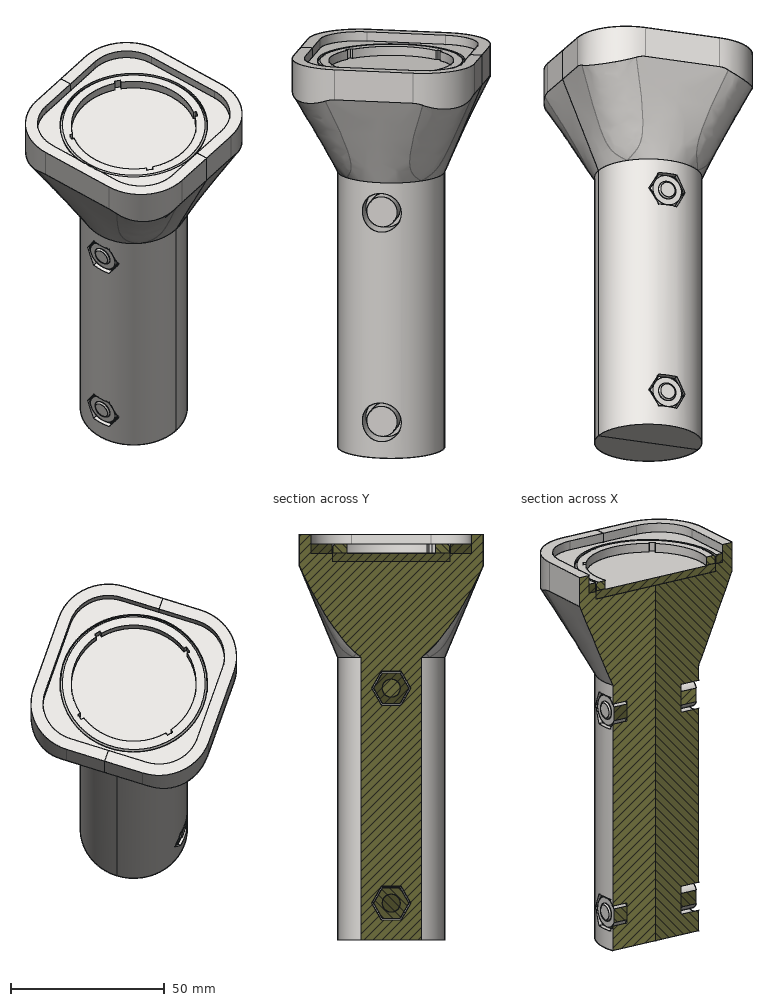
import cadquery as cq
import math

TOTAL_HEIGHT = 132.0
HEAD_WIDTH = 60.0
CORNER_RADIUS = 17.0
TAPER_CORNER_RADIUS = 15.0
RIM_HEIGHT = 10.0
TAPER_HEIGHT = 30.0
TUBE_DIAMETER = 35.0
RIM_WALL = 4.0

TUBE_RADIUS = TUBE_DIAMETER / 2
TUBE_TOP = TOTAL_HEIGHT - RIM_HEIGHT - TAPER_HEIGHT
RIM_BOTTOM = TOTAL_HEIGHT - RIM_HEIGHT

PLATE_DEPTH = 3.0
PLATE_THICKNESS = 3.0
PLATE_WIDTH = HEAD_WIDTH - 2 * RIM_WALL
PLATE_CORNER_RADIUS = CORNER_RADIUS - RIM_WALL
OPENING_RADIUS = 24.0
RING_RADIUS = 23.9
RING_BORE_RADIUS = 20.3
RING_CHAMFER = 0.7
DISC_THICKNESS = 2.6
NOTCH_WIDTH = 2.0
NOTCH_DEPTH = 0.9
NOTCH_COUNT = 4
FIRST_NOTCH_ANGLE = 52.3

PLATE_TOP = TOTAL_HEIGHT - PLATE_DEPTH
PLATE_BOTTOM = PLATE_TOP - PLATE_THICKNESS
DISC_BOTTOM = PLATE_BOTTOM - DISC_THICKNESS

BOLT_HEIGHTS = (12.0, 82.0)
BOLT_RADIUS = 3.0
BOLT_END_CHAMFER = 0.5
BOLT_END_Y = -17.2
BOLT_HEAD_RADIUS = 5.0
BOLT_HEAD_HEIGHT = 6.0
BOLT_SEAT_Y = 10.0
COUNTERBORE_RADIUS = 6.5
HEXAGON_SIDES = 6
NUT_FLATS = 10.0
NUT_POCKET_FLATS = 11.0
NUT_THICKNESS = 5.0
NUT_FACE_Y = -16.5
NUT_CHAMFER_ANGLE = 30.0

NUT_SEAT_Y = NUT_FACE_Y + NUT_THICKNESS


def cylinder_along_y(radius, y_start, y_end, height):
    """Cylinder parallel to Y at the given Z height, from y_start up to y_end."""
    start = cq.Vector(0, y_start, height)
    return cq.Workplane(obj=cq.Solid.makeCylinder(radius, y_end - y_start, start, cq.Vector(0, 1, 0)))


def hexagon_along_y(flats, y_start, y_end, height):
    """Hexagonal prism parallel to Y with two flats facing up and down."""
    corners = flats / math.cos(math.pi / HEXAGON_SIDES)
    plane = cq.Plane(origin=(0, y_end, height), xDir=(1, 0, 0), normal=(0, -1, 0))
    return cq.Workplane(plane).polygon(HEXAGON_SIDES, corners).extrude(y_end - y_start)


def rounded_block(width, corner_radius, bottom, top):
    """Upright block with a square outline and rounded corners."""
    block = cq.Workplane("XY", origin=(0, 0, bottom)).rect(width, width).extrude(top - bottom)
    return block.edges("|Z").fillet(corner_radius)


def disc_between(radius, bottom, top):
    """Upright cylinder on the Z axis."""
    return cq.Workplane("XY", origin=(0, 0, bottom)).circle(radius).extrude(top - bottom)


def tube_outline():
    """Circle at the top of the tube, made of four arcs that face the four sides of the head."""
    corner = TUBE_RADIUS / math.sqrt(2)
    return (
        cq.Workplane("XY", origin=(0, 0, TUBE_TOP))
        .moveTo(-corner, -corner)
        .threePointArc((0, -TUBE_RADIUS), (corner, -corner))
        .threePointArc((TUBE_RADIUS, 0), (corner, corner))
        .threePointArc((0, TUBE_RADIUS), (-corner, corner))
        .threePointArc((-TUBE_RADIUS, 0), (-corner, -corner))
        .close()
        .val()
    )


def is_sloping_corner(edge):
    """True for the four edges that run down the taper from the corners of its square top."""
    return abs(edge.startPoint().z - edge.endPoint().z) > TAPER_HEIGHT / 2


def make_taper():
    """Ruled taper from the square head to the round tube, with rounded corners."""
    square = cq.Workplane("XY", origin=(0, 0, RIM_BOTTOM)).rect(HEAD_WIDTH, HEAD_WIDTH).wires().val()
    taper = cq.Workplane(obj=cq.Solid.makeLoft([tube_outline(), square], True))
    corner_edges = [edge for edge in taper.edges().vals() if is_sloping_corner(edge)]
    return taper.newObject(corner_edges).fillet(TAPER_CORNER_RADIUS)


def make_housing():
    """Whole housing before it is split: square head, taper and round tube, with all its pockets."""
    envelope = rounded_block(HEAD_WIDTH, CORNER_RADIUS, TUBE_TOP, TOTAL_HEIGHT)
    housing = rounded_block(HEAD_WIDTH, CORNER_RADIUS, RIM_BOTTOM, TOTAL_HEIGHT)
    housing = housing.union(make_taper().intersect(envelope))
    housing = housing.union(disc_between(TUBE_RADIUS, 0, TUBE_TOP))

    housing = housing.cut(rounded_block(PLATE_WIDTH, PLATE_CORNER_RADIUS, PLATE_BOTTOM, TOTAL_HEIGHT))
    housing = housing.cut(disc_between(RING_RADIUS, DISC_BOTTOM, PLATE_BOTTOM))
    for height in BOLT_HEIGHTS:
        housing = housing.cut(cylinder_along_y(BOLT_RADIUS, -TUBE_RADIUS, TUBE_RADIUS, height))
        housing = housing.cut(cylinder_along_y(COUNTERBORE_RADIUS, BOLT_SEAT_Y, HEAD_WIDTH / 2, height))
        housing = housing.cut(hexagon_along_y(NUT_POCKET_FLATS, -HEAD_WIDTH / 2, NUT_SEAT_Y, height))
    return housing


def make_housing_half(housing, side):
    """Half of the housing on one side of the split plane Y = 0 (side is -1 for front, +1 for back)."""
    half_space = (
        cq.Workplane("XY")
        .center(0, side * HEAD_WIDTH / 2)
        .rect(HEAD_WIDTH, HEAD_WIDTH)
        .extrude(TOTAL_HEIGHT)
    )
    return housing.intersect(half_space)


def make_plate():
    """Cover plate set into the head, with the opening for the ring."""
    plate = rounded_block(PLATE_WIDTH, PLATE_CORNER_RADIUS, PLATE_BOTTOM, PLATE_TOP)
    return plate.cut(disc_between(OPENING_RADIUS, PLATE_BOTTOM, PLATE_TOP))


def make_ring():
    """Retaining ring with a chamfered rim and spanner notches around its bore."""
    ring = disc_between(RING_RADIUS, PLATE_BOTTOM, PLATE_TOP).faces(">Z").edges().chamfer(RING_CHAMFER)
    ring = ring.cut(disc_between(RING_BORE_RADIUS, PLATE_BOTTOM, PLATE_TOP))
    notch_reach = RING_BORE_RADIUS + NOTCH_DEPTH
    for index in range(NOTCH_COUNT):
        angle = FIRST_NOTCH_ANGLE + index * 360 / NOTCH_COUNT
        notch = (
            cq.Workplane("XY", origin=(0, 0, PLATE_BOTTOM))
            .transformed(rotate=(0, 0, angle))
            .center(notch_reach / 2, 0)
            .rect(notch_reach, NOTCH_WIDTH)
            .extrude(PLATE_TOP - PLATE_BOTTOM)
        )
        ring = ring.cut(notch)
    return ring


def make_disc():
    """Round disc held under the ring."""
    return disc_between(RING_RADIUS, DISC_BOTTOM, PLATE_BOTTOM)


def make_bolt(height):
    """Bolt with a round head at the back and a chamfered end at the front."""
    shank = cylinder_along_y(BOLT_RADIUS, BOLT_END_Y, BOLT_SEAT_Y, height)
    shank = shank.faces("<Y").edges().chamfer(BOLT_END_CHAMFER)
    head = cylinder_along_y(BOLT_HEAD_RADIUS, BOLT_SEAT_Y, BOLT_SEAT_Y + BOLT_HEAD_HEIGHT, height)
    return shank.union(head)


def make_nut(height):
    """Hexagonal nut whose corners are turned down to a cone on the outer face."""
    nut = hexagon_along_y(NUT_FLATS, NUT_FACE_Y, NUT_SEAT_Y, height)
    cone_slope = math.tan(math.radians(NUT_CHAMFER_ANGLE))
    cone = cq.Solid.makeCone(
        NUT_FLATS / 2,
        NUT_FLATS / 2 + NUT_THICKNESS / cone_slope,
        NUT_THICKNESS,
        cq.Vector(0, NUT_FACE_Y, height),
        cq.Vector(0, 1, 0),
    )
    nut = nut.intersect(cq.Workplane(obj=cone))
    return nut.cut(cylinder_along_y(BOLT_RADIUS, NUT_FACE_Y, NUT_SEAT_Y, height))


housing = make_housing()
front_half = make_housing_half(housing, -1)
back_half = make_housing_half(housing, 1)
plate = make_plate()
ring = make_ring()
disc = make_disc()
bolts = [make_bolt(height) for height in BOLT_HEIGHTS]
nuts = [make_nut(height) for height in BOLT_HEIGHTS]

result = cq.Compound.makeCompound(
    [
        front_half.val(),
        back_half.val(),
        plate.val(),
        ring.val(),
        disc.val(),
        *[bolt.val() for bolt in bolts],
        *[nut.val() for nut in nuts],
    ]
)